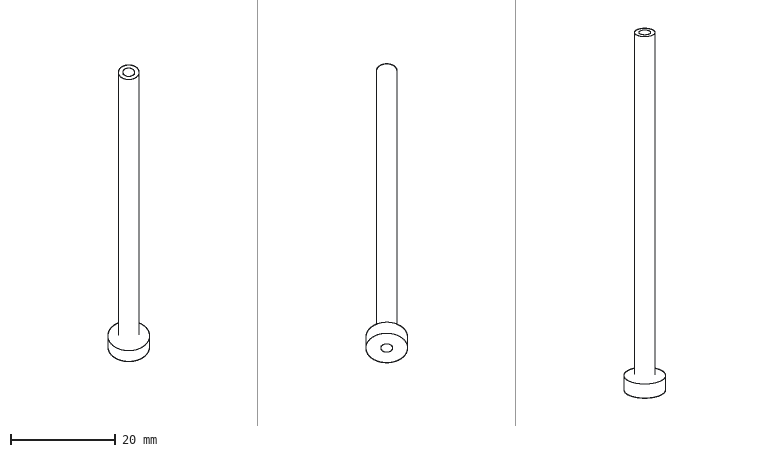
import cadquery as cq

total_length = 75.0
head_diameter = 8.0
head_height = 3.0
shank_diameter = 4.0
bore_diameter = 2.25
neck_fillet = 0.3

head = cq.Workplane("XY").circle(head_diameter / 2).extrude(head_height)

shank_length = total_length - head_height
body = head.faces(">Z").workplane().circle(shank_diameter / 2).extrude(shank_length)

neck_edge = cq.selectors.RadiusNthSelector(0)
body = body.faces("<Z[1]").edges(neck_edge).fillet(neck_fillet)

bore = cq.Workplane("XY").circle(bore_diameter / 2).extrude(total_length)
result = body.cut(bore)